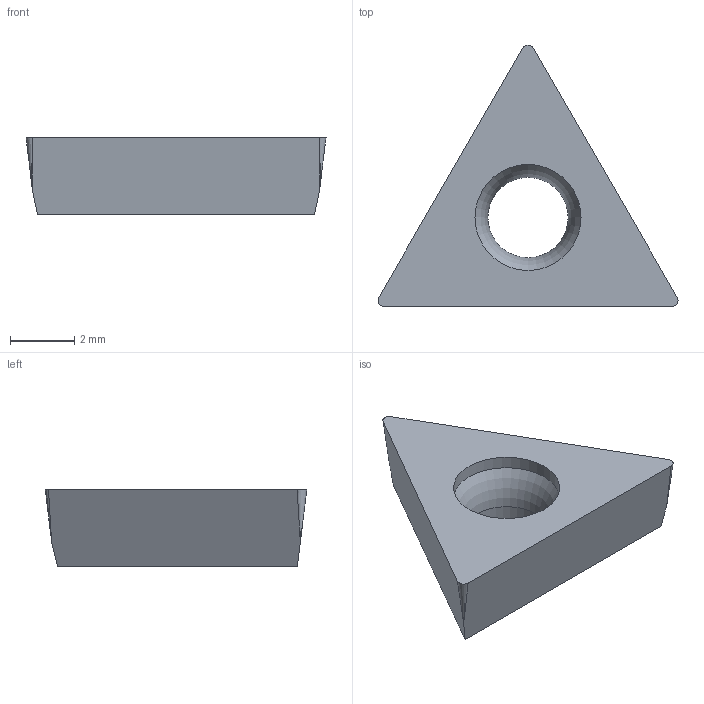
import cadquery as cq
import math

INSCRIBED_DIAMETER = 5.56
THICKNESS = 2.38
CORNER_RADIUS = 0.2
CLEARANCE_ANGLE = 7.0

BORE_DIAMETER = 2.5
RECESS_DIAMETER = 3.3
RECESS_DEPTH = 0.4
SEAT_RADIUS = 2.0

CORNER_DIRECTIONS = (90.0, 210.0, 330.0)
TANGENT_ANGLE = 60.0

CORNER_DISTANCE = INSCRIBED_DIAMETER
CONE_DISTANCE = INSCRIBED_DIAMETER - 2 * CORNER_RADIUS

CONE_DEPTH = CORNER_RADIUS / math.tan(math.radians(CLEARANCE_ANGLE))


def polar(radius, direction, z):
    """Point or offset from a radius, a direction in degrees and a height."""
    angle = math.radians(direction)
    return cq.Vector(radius * math.cos(angle), radius * math.sin(angle), z)


def sharp_body():
    """Tapered triangular block with sharp corners."""
    corners = [polar(CORNER_DISTANCE, direction, 0).toTuple()[:2] for direction in CORNER_DIRECTIONS]
    return (
        cq.Workplane("XY", origin=(0, 0, THICKNESS))
        .polyline(corners)
        .close()
        .extrude(-THICKNESS, taper=CLEARANCE_ANGLE)
    )


def corner_wedge(direction):
    """Tetrahedron between the sharp corner, the two tangent points and the cone tip."""
    sharp_corner = polar(CORNER_DISTANCE, direction, THICKNESS)
    center = polar(CONE_DISTANCE, direction, THICKNESS)
    tangent_left = center + polar(CORNER_RADIUS, direction + TANGENT_ANGLE, 0)
    tangent_right = center + polar(CORNER_RADIUS, direction - TANGENT_ANGLE, 0)
    tip = polar(CONE_DISTANCE, direction, THICKNESS - CONE_DEPTH)
    triangles = (
        (sharp_corner, tangent_left, tangent_right),
        (tip, tangent_left, tangent_right),
        (tip, sharp_corner, tangent_left),
        (tip, sharp_corner, tangent_right),
    )
    faces = [cq.Face.makeFromWires(cq.Wire.makePolygon(points, close=True)) for points in triangles]
    return cq.Solid.makeSolid(cq.Shell.makeShell(faces))


def corner_cone(direction):
    """Upright cone, point down, that forms the rounded corner."""
    tip = polar(CONE_DISTANCE, direction, THICKNESS - CONE_DEPTH)
    return cq.Solid.makeCone(0, CORNER_RADIUS, CONE_DEPTH, pnt=tip)


def screw_hole():
    """Cylindrical recess, convex flared seat and through bore, as one solid."""
    bore_radius = BORE_DIAMETER / 2
    recess_radius = RECESS_DIAMETER / 2
    flare = recess_radius - bore_radius
    flare_angle = math.acos(1 - flare / SEAT_RADIUS)
    recess_floor = THICKNESS - RECESS_DEPTH
    bore_top = recess_floor - SEAT_RADIUS * math.sin(flare_angle)
    seat_middle = (
        bore_radius + SEAT_RADIUS * (1 - math.cos(flare_angle / 2)),
        bore_top + SEAT_RADIUS * math.sin(flare_angle / 2),
    )
    return (
        cq.Workplane("XZ")
        .lineTo(bore_radius, 0)
        .lineTo(bore_radius, bore_top)
        .threePointArc(seat_middle, (recess_radius, recess_floor))
        .lineTo(recess_radius, THICKNESS)
        .lineTo(0, THICKNESS)
        .close()
        .revolve(360, (0, 0), (0, 1))
    )


result = sharp_body()
for corner_direction in CORNER_DIRECTIONS:
    waste = corner_wedge(corner_direction).cut(corner_cone(corner_direction))
    result = result.cut(cq.Workplane(waste))
result = result.cut(screw_hole())